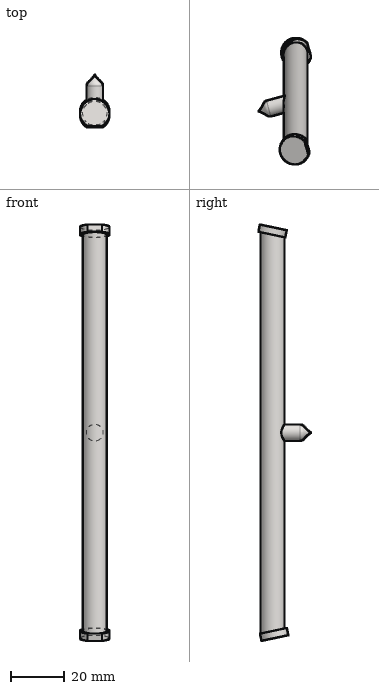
import cadquery as cq
import math

overall_height = 156.0
bar_radius = 4.5

cap_radius = 5.54
cap_flat_distance = 4.8
cap_thickness = 2.8
cap_tilt = 12.0

peg_radius = 3.1
peg_tip_y = 14.5
peg_shank_end_y = 10.3
peg_bend_radius = 2.2
peg_bend_y = 12.0
peg_tip_half_angle = 30.0

tilt_sin = math.sin(math.radians(cap_tilt))
tilt_cos = math.cos(math.radians(cap_tilt))

outer_center_z = overall_height / 2 - cap_flat_distance * tilt_sin
inner_center_z = outer_center_z - cap_thickness * tilt_cos

inward_shift_y = cap_thickness * tilt_sin
upper_inner_y = -inward_shift_y
lower_inner_y = 0.0
cap_places = ((1, upper_inner_y), (-1, lower_inner_y))


def cap_plane(side, inner_y):
    """Inner face plane of the cap at the top (side = 1) or bottom (side = -1)."""
    return cq.Plane(
        origin=(0, inner_y, side * inner_center_z),
        xDir=(1, 0, 0),
        normal=(0, tilt_sin, side * tilt_cos),
    )


def make_cap(side, inner_y):
    """Round plate, cut flat toward -Y, standing on its inner face plane."""
    plane = cap_plane(side, inner_y)
    plate = cq.Workplane(plane).circle(cap_radius).extrude(cap_thickness)
    kept_depth = cap_flat_distance + cap_radius
    kept_center = side * (cap_radius - cap_flat_distance) / 2
    kept_block = (
        cq.Workplane(plane)
        .center(0, kept_center)
        .rect(2 * cap_radius, kept_depth)
        .extrude(cap_thickness)
    )
    return plate.intersect(kept_block)


def make_peg():
    """Solid of revolution about Y: a cylinder from the bar axis with an ogee point."""
    tip_sin = math.sin(math.radians(peg_tip_half_angle))
    tip_cos = math.cos(math.radians(peg_tip_half_angle))
    return (
        cq.Workplane("XY")
        .lineTo(peg_radius, 0)
        .lineTo(peg_radius, peg_shank_end_y)
        .spline(
            [(peg_bend_radius, peg_bend_y), (0, peg_tip_y)],
            tangents=[(0, 1), (-tip_sin, tip_cos)],
            includeCurrent=True,
        )
        .close()
        .revolve(360, (0, 0, 0), (0, 1, 0))
    )


def make_bar():
    """Round bar, cut off along the inner faces of both caps, with the peg on its back."""
    bar = cq.Workplane("XY").circle(bar_radius).extrude(overall_height / 2, both=True)
    for side, inner_y in cap_places:
        waste = (
            cq.Workplane(cap_plane(side, inner_y))
            .rect(4 * cap_radius, 4 * cap_radius)
            .extrude(2 * cap_radius)
        )
        bar = bar.cut(waste)
    return bar.union(make_peg())


bar = make_bar()
caps = [make_cap(side, inner_y) for side, inner_y in cap_places]

result = cq.Compound.makeCompound([bar.val(), *[cap.val() for cap in caps]])